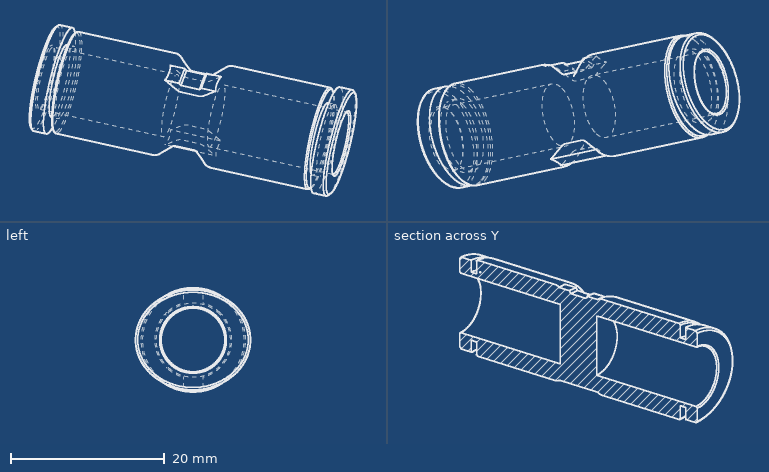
import cadquery as cq
import math

length = 40.2
half_length = length / 2

body_radius = 6.8
body_half_length = 17.25
body_end_chamfer = 0.2
waist_radius = 5.0
cone_angle = math.radians(42)
cone_length = (body_radius - waist_radius) / math.tan(cone_angle)
cone_start = 1.53
cone_end = cone_start + cone_length
cone_fillet = 1.0

collar_thickness = 2.0
collar_width = 15.0
collar_height = 13.0
collar_chamfer = 0.3
collar_neck_radius = 4.83

socket_radius = 4.15
socket_depth = 17.0
socket_chamfer = 0.2

rib_width = 2.6
rib_height = 6.55
notch_floor = 6.2
notch_floor_length = 2.5
notch_top_length = 3.0


def make_body():
    """Turned body with chamfered ends and a conical waist with rounded corners."""
    tangent_length = cone_fillet * math.tan(cone_angle / 2)
    tangent_x = tangent_length * math.cos(cone_angle)
    tangent_rise = tangent_length * math.sin(cone_angle)
    arc_middle_x = cone_fillet * math.sin(cone_angle / 2)
    arc_middle_rise = cone_fillet * (1 - math.cos(cone_angle / 2))
    waist_tangent_x = cone_start - tangent_length
    barrel_tangent_x = cone_end + tangent_length
    half = (
        cq.Workplane("XY")
        .moveTo(0, 0)
        .lineTo(0, waist_radius)
        .lineTo(waist_tangent_x, waist_radius)
        .threePointArc(
            (waist_tangent_x + arc_middle_x, waist_radius + arc_middle_rise),
            (cone_start + tangent_x, waist_radius + tangent_rise),
        )
        .lineTo(cone_end - tangent_x, body_radius - tangent_rise)
        .threePointArc(
            (barrel_tangent_x - arc_middle_x, body_radius - arc_middle_rise),
            (barrel_tangent_x, body_radius),
        )
        .lineTo(body_half_length - body_end_chamfer, body_radius)
        .lineTo(body_half_length, body_radius - body_end_chamfer)
        .lineTo(body_half_length, 0)
        .close()
        .revolve(360, (0, 0, 0), (1, 0, 0))
    )
    return half.union(half.mirror("YZ"))


def make_ribs():
    """Flat-sided ribs along X, with a tapered notch in the upper one."""
    rib_length = 2 * (cone_end + cone_fillet)
    ribs = cq.Workplane("XY").box(rib_length, rib_width, 2 * rib_height)
    notch = (
        cq.Workplane("XZ")
        .moveTo(-notch_floor_length / 2, notch_floor)
        .lineTo(notch_floor_length / 2, notch_floor)
        .lineTo(notch_top_length / 2, rib_height)
        .lineTo(-notch_top_length / 2, rib_height)
        .close()
        .extrude(rib_width / 2, both=True)
    )
    return ribs.cut(notch)


def make_collar():
    """Oval collar at the +X end with its round neck."""
    collar = (
        cq.Workplane("YZ", origin=(half_length - collar_thickness, 0, 0))
        .ellipse(collar_width / 2, collar_height / 2)
        .extrude(collar_thickness)
        .faces(">X")
        .chamfer(collar_chamfer)
    )
    neck = (
        cq.Workplane("YZ", origin=(body_half_length, 0, 0))
        .circle(collar_neck_radius)
        .extrude(half_length - collar_thickness - body_half_length)
    )
    return collar.union(neck)


def make_socket():
    """Blind tube socket at the +X end with a chamfered mouth."""
    socket = (
        cq.Workplane("YZ", origin=(half_length - socket_depth, 0, 0))
        .circle(socket_radius)
        .extrude(socket_depth)
    )
    mouth = cq.Workplane(
        cq.Solid.makeCone(
            socket_radius,
            socket_radius + socket_chamfer,
            socket_chamfer,
            pnt=cq.Vector(half_length - socket_chamfer, 0, 0),
            dir=cq.Vector(1, 0, 0),
        )
    )
    return socket.union(mouth)


collar_end = make_collar()
socket_end = make_socket()

result = (
    make_body()
    .union(make_ribs())
    .union(collar_end)
    .union(collar_end.mirror("YZ"))
    .cut(socket_end)
    .cut(socket_end.mirror("YZ"))
)